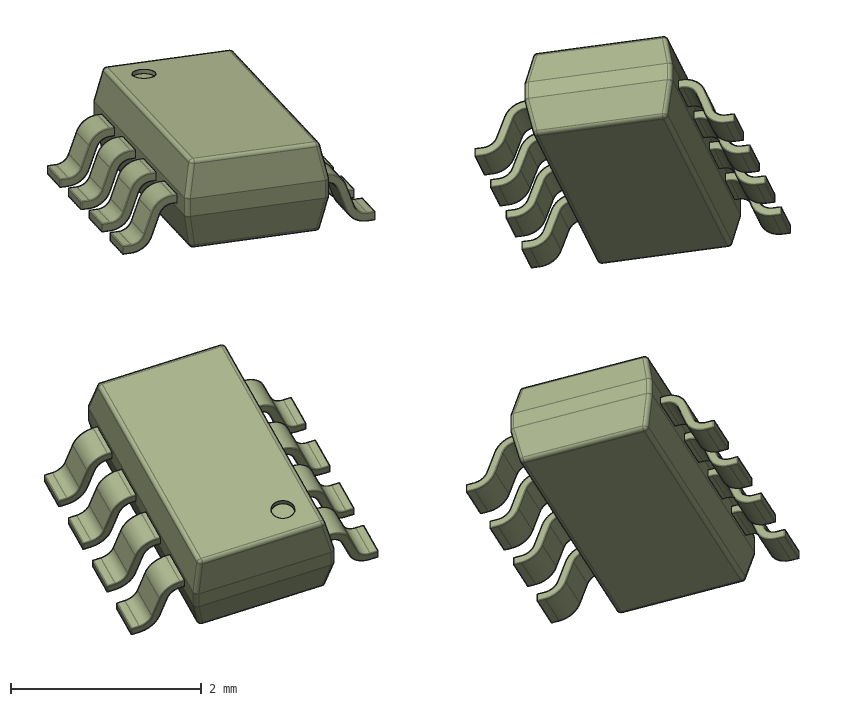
import cadquery as cq
import math

BODY_LENGTH = 2.9
BODY_WIDTH = 1.6
STANDOFF = 0.05
BELT_BOTTOM = 0.45
BELT_TOP = 0.65
BODY_TOP = 1.05
DRAFT_ANGLE = 11.5
EDGE_RADIUS = 0.05

MARK_RADIUS = 0.125
MARK_INSET = 0.42
MARK_DEPTH = 0.05

LEADS_PER_SIDE = 4
LEAD_PITCH = 0.65
LEAD_WIDTH = 0.4
LEAD_THICKNESS = 0.1
LEAD_SPAN = 2.81
LEAD_ANGLE = 70.0
LEAD_EDGE_RADIUS = 0.01
BEND_RADIUS = 0.2
SHOULDER_LENGTH = 0.05


def make_half(belt_z, end_z):
    """Tapered half of the package, from the belt to an end face."""
    half = (
        cq.Workplane("XY")
        .rect(BODY_LENGTH, BODY_WIDTH)
        .extrude(abs(end_z - belt_z), taper=DRAFT_ANGLE)
    )
    if end_z < belt_z:
        half = half.mirror("XY")
    return half.translate((0, 0, belt_z))


def make_package():
    """Belt and two tapered halves with rounded edges and the pin 1 mark."""
    belt = (
        cq.Workplane("XY")
        .workplane(offset=BELT_BOTTOM)
        .rect(BODY_LENGTH, BODY_WIDTH)
        .extrude(BELT_TOP - BELT_BOTTOM)
    )
    package = belt.union(make_half(BELT_TOP, BODY_TOP)).union(make_half(BELT_BOTTOM, STANDOFF))

    corner_edges = package.edges("not #Z")
    end_edges = package.faces("<Z or >Z").edges()
    package = package.newObject(corner_edges.vals() + end_edges.vals()).fillet(EDGE_RADIUS)

    mark = (
        cq.Workplane("XY")
        .workplane(offset=BODY_TOP - MARK_DEPTH)
        .center(MARK_INSET - BODY_LENGTH / 2, MARK_INSET - BODY_WIDTH / 2)
        .circle(MARK_RADIUS)
        .extrude(MARK_DEPTH)
    )
    return package.cut(mark)


def make_lead():
    """One gull-wing lead on the +Y side, centred on X = 0."""
    half_thickness = LEAD_THICKNESS / 2
    angle = math.radians(LEAD_ANGLE)
    shoulder_z = (BELT_BOTTOM + BELT_TOP) / 2
    foot_z = half_thickness

    leg_height = shoulder_z - foot_z - 2 * BEND_RADIUS * (1 - math.cos(angle))
    leg_reach = leg_height / math.tan(angle)

    root_y = BODY_WIDTH / 2
    upper_bend_y = root_y + SHOULDER_LENGTH
    lower_bend_y = upper_bend_y + 2 * BEND_RADIUS * math.sin(angle) + leg_reach
    tip_y = LEAD_SPAN / 2

    def upper_point(radius, turn):
        return (
            upper_bend_y + radius * math.sin(turn),
            shoulder_z - BEND_RADIUS + radius * math.cos(turn),
        )

    def lower_point(radius, turn):
        return (
            lower_bend_y - radius * math.sin(turn),
            foot_z + BEND_RADIUS - radius * math.cos(turn),
        )

    outer = BEND_RADIUS + half_thickness
    inner = BEND_RADIUS - half_thickness
    return (
        cq.Workplane("YZ")
        .moveTo(root_y, shoulder_z + half_thickness)
        .lineTo(*upper_point(outer, 0))
        .threePointArc(upper_point(outer, angle / 2), upper_point(outer, angle))
        .lineTo(*lower_point(inner, angle))
        .threePointArc(lower_point(inner, angle / 2), lower_point(inner, 0))
        .lineTo(tip_y, foot_z + half_thickness)
        .lineTo(tip_y, foot_z - half_thickness)
        .lineTo(*lower_point(outer, 0))
        .threePointArc(lower_point(outer, angle / 2), lower_point(outer, angle))
        .lineTo(*upper_point(inner, angle))
        .threePointArc(upper_point(inner, angle / 2), upper_point(inner, 0))
        .lineTo(root_y, shoulder_z - half_thickness)
        .close()
        .extrude(LEAD_WIDTH / 2, both=True)
        .edges("((not |X) or >Y) and (not <Y)")
        .fillet(LEAD_EDGE_RADIUS)
    )


package = make_package()

leads = []
for index in range(LEADS_PER_SIDE):
    lead_x = (index - (LEADS_PER_SIDE - 1) / 2) * LEAD_PITCH
    back_lead = make_lead().translate((lead_x, 0, 0))
    front_lead = back_lead.mirror("XZ")
    leads += [back_lead.val(), front_lead.val()]

result = cq.Compound.makeCompound([package.val(), *leads])